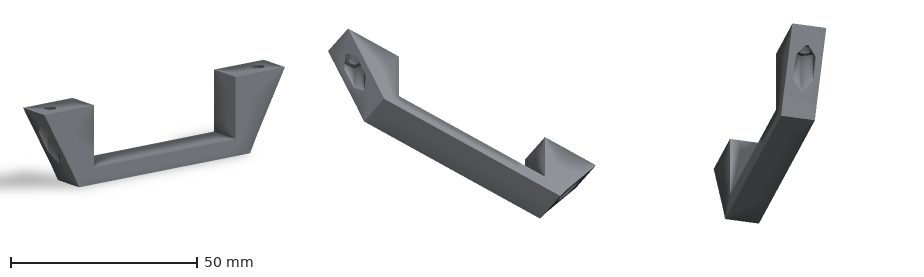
import cadquery as cq
import math

width = 9.42
length = 81.24
height = 22.05

leg_length = 16.75
grip_thickness = 4.8
bottom_length = 57.7
shoulder_length = 62.5

hole_diameter = 3.5
hole_spacing = 70.27
hole_x = -0.095
nut_sides = 6
nut_across_flats = 5.5
nut_seat_depth = 4.6

nut_across_corners = nut_across_flats / math.cos(math.pi / nut_sides)
opening_length = length - 2 * leg_length


def make_body():
    """U-shaped handle with outward leaning ends, centred in X and Y, bottom at Z = 0."""
    profile = [
        (-bottom_length / 2, 0),
        (bottom_length / 2, 0),
        (shoulder_length / 2, grip_thickness),
        (length / 2, height),
        (opening_length / 2, height),
        (opening_length / 2, grip_thickness),
        (-opening_length / 2, grip_thickness),
        (-opening_length / 2, height),
        (-length / 2, height),
        (-shoulder_length / 2, grip_thickness),
    ]
    return cq.Workplane("YZ").polyline(profile).close().extrude(width / 2, both=True)


def make_screw_cut(hole_y):
    """Vertical screw hole with a nut pocket below it that opens through the leaning end."""
    hole = cq.Workplane("XY").center(hole_x, hole_y).circle(hole_diameter / 2).extrude(height)
    pocket = (
        cq.Workplane("XY")
        .center(hole_x, hole_y)
        .transformed(rotate=(0, 0, 90))
        .polygon(nut_sides, nut_across_corners)
        .extrude(height - nut_seat_depth)
    )
    return hole.union(pocket)


result = make_body()
for side in (-1, 1):
    result = result.cut(make_screw_cut(side * hole_spacing / 2))